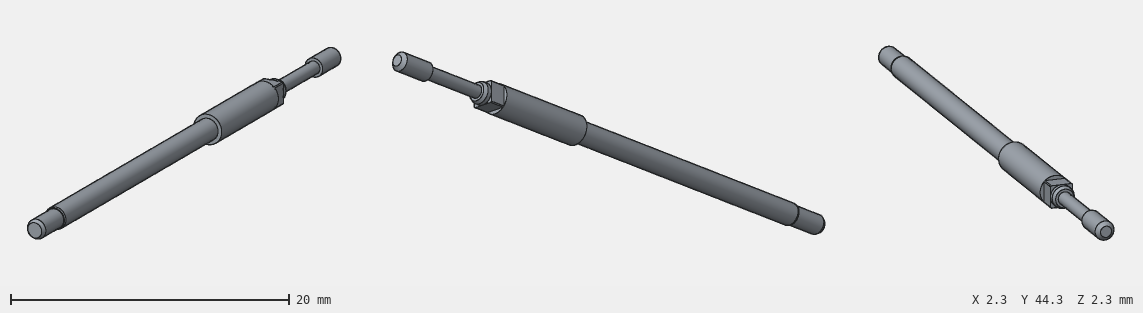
import cadquery as cq
import math

TOTAL_LENGTH = 44.3

PIN_DIAMETER = 1.5
PIN_LENGTH = 2.95
PIN_CHAMFER_LENGTH = 0.3
PIN_CHAMFER_DEPTH = 0.17

TUBE_DIAMETER = 1.7
TUBE_LENGTH = 22.65
TUBE_CHAMFER_LENGTH = 0.15
TUBE_CHAMFER_DEPTH = 0.05

COLLAR_DIAMETER = 2.3
COLLAR_LENGTH = 8.4

SQUARE_WIDTH = 1.7
SQUARE_LENGTH = 1.3

FLANGE_DIAMETER = 1.7
FLANGE_LENGTH = 0.65
FLANGE_CHAMFER_LENGTH = 0.3
FLANGE_CHAMFER_DEPTH = 0.15

HEAD_DIAMETER = 1.45
HEAD_LENGTH = 3.0
HEAD_CHAMFER = 0.3

SHAFT_DIAMETER = 1.0

tube_start = PIN_LENGTH
collar_start = tube_start + TUBE_LENGTH
square_start = collar_start + COLLAR_LENGTH
flange_start = square_start + SQUARE_LENGTH
shaft_start = flange_start + FLANGE_LENGTH
head_start = TOTAL_LENGTH - HEAD_LENGTH
shaft_length = head_start - shaft_start


def cylinder(diameter, start, length):
    """Solid cylinder on the Y axis running from start towards +Y."""
    base = cq.Workplane("XZ", origin=(0, start, 0))
    return base.circle(diameter / 2).extrude(-length)


def cone_ended_cylinder(diameter, blunt_end, tip_end, chamfer_length, chamfer_depth):
    """Cylinder from blunt_end to tip_end, chamfered at tip_end.

    chamfer_length is measured along Y and chamfer_depth towards the axis.
    """
    radius = diameter / 2
    tip_radius = radius - chamfer_depth
    towards_blunt_end = math.copysign(1, blunt_end - tip_end)
    chamfer_start = tip_end + towards_blunt_end * chamfer_length
    profile = [
        (0, blunt_end),
        (radius, blunt_end),
        (radius, chamfer_start),
        (tip_radius, tip_end),
        (0, tip_end),
    ]
    return cq.Workplane("XY").polyline(profile).close().revolve(360, (0, 0), (0, 1))


def square_section():
    """Square block whose corners are trimmed to the collar's cylinder."""
    base = cq.Workplane("XZ", origin=(0, square_start, 0))
    block = base.rect(SQUARE_WIDTH, SQUARE_WIDTH).extrude(-SQUARE_LENGTH)
    return block.intersect(cylinder(COLLAR_DIAMETER, square_start, SQUARE_LENGTH))


pin = cone_ended_cylinder(PIN_DIAMETER, tube_start, 0, PIN_CHAMFER_LENGTH, PIN_CHAMFER_DEPTH)
tube = cone_ended_cylinder(
    TUBE_DIAMETER, collar_start, tube_start, TUBE_CHAMFER_LENGTH, TUBE_CHAMFER_DEPTH
)
collar = cylinder(COLLAR_DIAMETER, collar_start, COLLAR_LENGTH)
flange = cone_ended_cylinder(
    FLANGE_DIAMETER, flange_start, shaft_start, FLANGE_CHAMFER_LENGTH, FLANGE_CHAMFER_DEPTH
)
shaft = cylinder(SHAFT_DIAMETER, shaft_start, shaft_length)
head = cone_ended_cylinder(HEAD_DIAMETER, head_start, TOTAL_LENGTH, HEAD_CHAMFER, HEAD_CHAMFER)

result = pin
for section in (tube, collar, square_section(), flange, shaft, head):
    result = result.union(section)